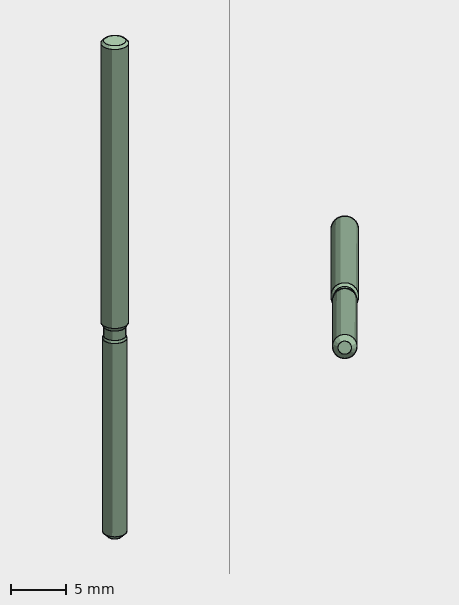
import cadquery as cq

total_length = 50.0

barrel_radius = 1.25
barrel_bottom = 21.2
barrel_top_bevel_width = 0.25
barrel_top_bevel_height = 0.25
barrel_bottom_bevel_height = 0.4

plunger_radius = 1.1
neck_radius = 1.0
neck_bottom = 20.25
shoulder_height = 0.25
tip_radius = 0.6
tip_height = 0.5


def revolve_about_z(profile):
    """Turn a closed (radius, height) outline into a solid around the Z axis."""
    return cq.Workplane("XZ").polyline(profile).close().revolve(360, (0, 0), (0, 1))


def make_barrel():
    """Straight rod whose lower bevel narrows to the neck."""
    return revolve_about_z([
        (0, barrel_bottom),
        (neck_radius, barrel_bottom),
        (barrel_radius, barrel_bottom + barrel_bottom_bevel_height),
        (barrel_radius, total_length - barrel_top_bevel_height),
        (barrel_radius - barrel_top_bevel_width, total_length),
        (0, total_length),
    ])


def make_plunger():
    """Pin with a blunt conical tip, a bevelled shoulder and a neck."""
    return revolve_about_z([
        (0, 0),
        (tip_radius, 0),
        (plunger_radius, tip_height),
        (plunger_radius, neck_bottom - shoulder_height),
        (neck_radius, neck_bottom),
        (neck_radius, barrel_bottom),
        (0, barrel_bottom),
    ])


barrel = make_barrel()
plunger = make_plunger()

result = cq.Compound.makeCompound([barrel.val(), plunger.val()])